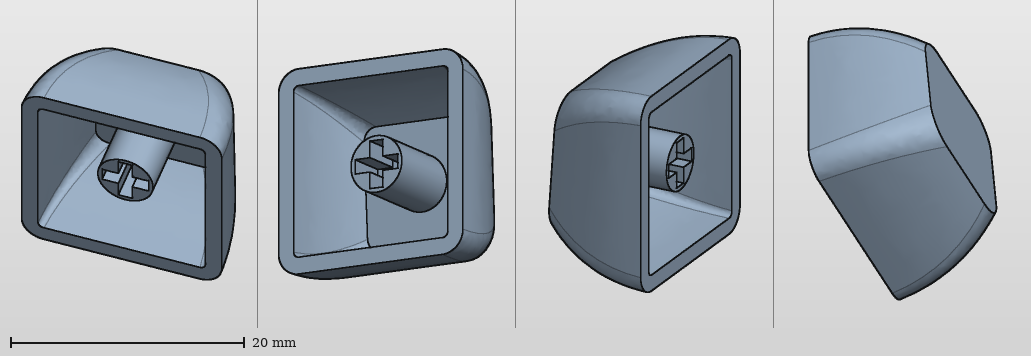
import cadquery as cq
import math

RIM_SIZE = 18.1
RIM_RADIUS = 2.0
MIDDLE_SIZE = 16.83
MIDDLE_RADIUS = 2.2
TOP_SIZE = 12.67
TOP_RADIUS = 2.72
TOP_TILT = 4.0
OVERALL_HEIGHT = 10.52
TOP_HEIGHT = OVERALL_HEIGHT - TOP_SIZE / 2 * math.sin(math.radians(TOP_TILT))

RIM_WALL = 1.48
HOLLOW_RIM_SIZE = RIM_SIZE - 2 * RIM_WALL
HOLLOW_RIM_RADIUS = 0.5
HOLLOW_MIDDLE_SIZE = 13.85
HOLLOW_MIDDLE_RADIUS = 0.76
HOLLOW_END_SIZE = 10.86
HOLLOW_END_RADIUS = 1.23
TOP_THICKNESS = 1.27
HOLLOW_DEPTH = TOP_HEIGHT - TOP_THICKNESS

STEM_DIAMETER = 5.0
STEM_RECESS = 1.0
CROSS_SPAN = 4.2
CROSS_ARM_WIDTH = 1.27
CROSS_DEPTH = 3.98


def section(size, radius, height, tilt):
    """Rounded square wire centred on the Y axis, its plane tilted about X."""
    angle = math.radians(tilt)
    normal = (0, math.cos(angle), math.sin(angle))
    plane = cq.Plane(origin=(0, height, 0), xDir=(1, 0, 0), normal=normal)
    outline = cq.Sketch().rect(size, size).vertices().fillet(radius)
    return outline.reset().faces().val().outerWire().moved(cq.Location(plane))


def tapered_block(rim, middle, end, height):
    """Smooth loft through three rounded squares, each given as (size, radius)."""
    return cq.Workplane(cq.Solid.makeLoft([
        section(*rim, 0, 0),
        section(*middle, height / 2, TOP_TILT / 2),
        section(*end, height, TOP_TILT),
    ]))


def make_hollow():
    """Inside space of the cap, ending on a floor parallel to the top."""
    return tapered_block(
        (HOLLOW_RIM_SIZE, HOLLOW_RIM_RADIUS),
        (HOLLOW_MIDDLE_SIZE, HOLLOW_MIDDLE_RADIUS),
        (HOLLOW_END_SIZE, HOLLOW_END_RADIUS),
        HOLLOW_DEPTH,
    )


def make_cap():
    """Keycap shell, open at the rim."""
    outside = tapered_block(
        (RIM_SIZE, RIM_RADIUS),
        (MIDDLE_SIZE, MIDDLE_RADIUS),
        (TOP_SIZE, TOP_RADIUS),
        TOP_HEIGHT,
    )
    return outside.cut(make_hollow())


def make_stem():
    """Post standing on the tilted floor, with a blind cross-shaped socket."""
    start = cq.Workplane(cq.Plane(origin=(0, STEM_RECESS, 0), xDir=(1, 0, 0), normal=(0, 1, 0)))
    post = start.circle(STEM_DIAMETER / 2).extrude(TOP_HEIGHT - STEM_RECESS)
    for width, height in ((CROSS_SPAN, CROSS_ARM_WIDTH), (CROSS_ARM_WIDTH, CROSS_SPAN)):
        post = post.cut(start.rect(width, height).extrude(CROSS_DEPTH))
    return post.intersect(make_hollow())


cap = make_cap()
stem = make_stem()

result = cq.Compound.makeCompound([cap.val(), stem.val()])